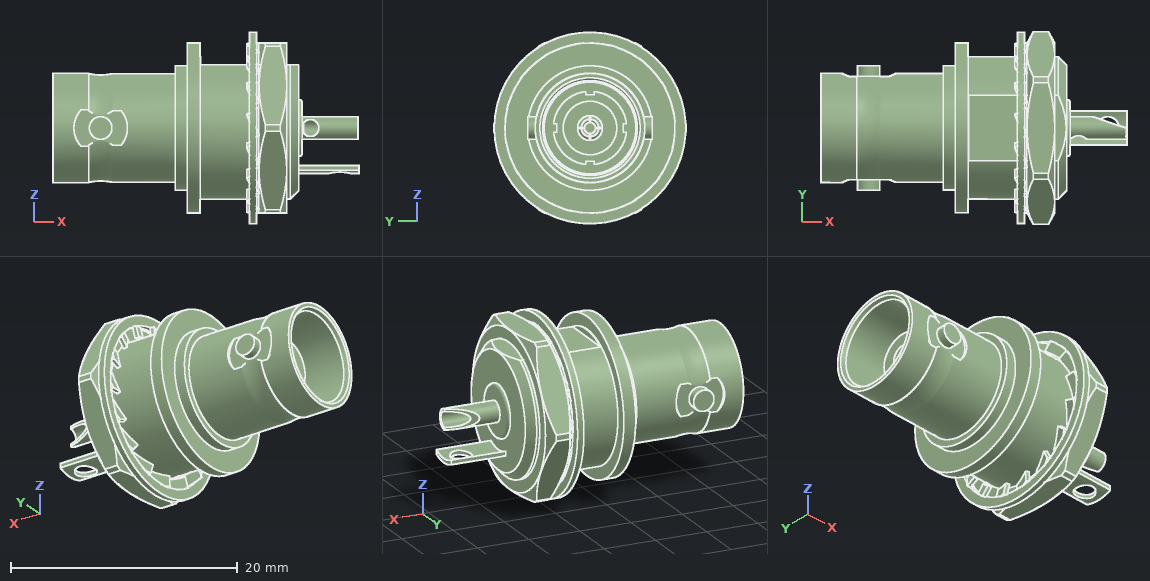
import cadquery as cq
import math


COLLAR_START = 10.77
FLANGE_START = 11.83
FLANGE_END = 13.0
KEY_FLAT_START = 13.05
WASHER_START = 17.33
WASHER_END = 17.95
NUT_START = 18.17
NUT_END = 20.63
BODY_END = 21.68
BOSS_END = 21.98
CONTACT_END = 26.92
LUG_END = 27.0

MOUTH_DIAMETER = 9.67
BARREL_DIAMETER = 9.6
MOUTH_LENGTH = 3.32
GROOVE_WIDTH = 2.1
GROOVE_DEPTH = 0.1
BAYONET_X = 4.2
BAYONET_PIN_DIAMETER = 2.0
BAYONET_SPAN = 11.0
SPOTFACE_DIAMETER = 4.72
SPOTFACE_OFFSET = 4.55

MOUTH_BORE_RADIUS = 4.43
TAPER_START_RADIUS = 4.18
TAPER_END_RADIUS = 4.05
LEAD_IN_LENGTH = 0.4
BORE_DEPTH = 9.72

TOWER_DIAMETER = 4.72
TOWER_START = 3.3
INSULATOR_DIAMETER = 6.48
INSULATOR_RAISE = 0.27
NOTCH_WIDTH = 0.75
NOTCH_DEPTH = 0.32
SOCKET_DIAMETER = 2.2
SOCKET_START = 3.5
SOCKET_NOSE_CHAMFER = 0.32
SOCKET_BORE_DIAMETER = 0.97
SOCKET_LEAD_IN = 0.27
SOCKET_SLIT = 0.1
SOCKET_BORE_END = 8.1

COLLAR_DIAMETER = 11.0
FLANGE_DIAMETER = 15.0
THREAD_DIAMETER = 12.58
THREAD_END_CHAMFER = 0.75
KEY_FLAT_HEIGHT = 5.6
BOSS_DIAMETER = 5.02
BOSS_ROUND = 0.27

WASHER_DIAMETER = 16.9
WASHER_BORE = 14.95
TOOTH_COUNT = 16
TOOTH_WIDTH = 2.15
TOOTH_THICKNESS = 0.35
TOOTH_TWIST = 22.0
TOOTH_PHASE = 20.3
TOOTH_CIRCLE = 12.95

NUT_ACROSS_FLATS = 15.0
NUT_DIAMETER = 17.0
NUT_FACE_DIAMETER = 14.95
NUT_CHAMFER = 0.57

CONTACT_DIAMETER = 2.0
CUP_BORE_DIAMETER = 1.48
CUP_BORE_START = 22.15
WINDOW_X = 22.7
WINDOW_DIAMETER = 1.48
SCARF_START = 23.98

LUG_WIDTH = 3.02
LUG_OUTER_RADIUS = 4.02
LUG_THICKNESS = 0.4
LUG_HOLE_X = 25.3
LUG_HOLE_DIAMETER = 1.97

TOOTH_OVERLAP = 0.08


def cylinder(start, end, diameter):
    """Round bar on the X axis."""
    return cq.Workplane("YZ", origin=(start, 0, 0)).circle(diameter / 2).extrude(end - start)


def block(x_range, y_range, z_range):
    """Box between pairs of limits along X, Y and Z."""
    limits = (x_range, y_range, z_range)
    sizes = [high - low for low, high in limits]
    corner = tuple(low for low, high in limits)
    return cq.Workplane("XY").box(*sizes, centered=False).translate(corner)


def revolve_profile(points):
    """Turn an (x, radius) outline around the X axis."""
    return cq.Workplane("XY").polyline(points).close().revolve(360, (0, 0, 0), (1, 0, 0))


def make_barrel():
    barrel = cylinder(0, MOUTH_LENGTH, MOUTH_DIAMETER)
    barrel = barrel.union(cylinder(MOUTH_LENGTH, COLLAR_START, BARREL_DIAMETER))

    surface = BARREL_DIAMETER / 2
    clearance = MOUTH_DIAMETER
    groove = (
        cq.Workplane("XY")
        .moveTo(BAYONET_X - GROOVE_WIDTH / 2, surface)
        .threePointArc((BAYONET_X, surface - GROOVE_DEPTH), (BAYONET_X + GROOVE_WIDTH / 2, surface))
        .lineTo(BAYONET_X + GROOVE_WIDTH / 2, clearance)
        .lineTo(BAYONET_X - GROOVE_WIDTH / 2, clearance)
        .close()
        .revolve(360, (0, 0, 0), (1, 0, 0))
    )
    barrel = barrel.cut(groove)

    for side in (-1, 1):
        seat = cq.Workplane("XZ", origin=(BAYONET_X, side * SPOTFACE_OFFSET, 0))
        spotface = seat.circle(SPOTFACE_DIAMETER / 2).extrude(-side * BAYONET_SPAN)
        pin_height = BAYONET_SPAN / 2 - SPOTFACE_OFFSET
        pin = seat.circle(BAYONET_PIN_DIAMETER / 2).extrude(-side * pin_height)
        barrel = barrel.cut(spotface).union(pin)
    return barrel


def make_body():
    thread = cylinder(FLANGE_END, BODY_END, THREAD_DIAMETER).faces(">X").chamfer(THREAD_END_CHAMFER)
    reach = THREAD_DIAMETER
    key_flat = block((KEY_FLAT_START, BODY_END), (-reach, reach), (KEY_FLAT_HEIGHT, reach))
    thread = thread.cut(key_flat)
    boss = cylinder(BODY_END, BOSS_END, BOSS_DIAMETER).faces(">X").fillet(BOSS_ROUND)
    collar = cylinder(COLLAR_START, FLANGE_START, COLLAR_DIAMETER)
    flange = cylinder(FLANGE_START, FLANGE_END, FLANGE_DIAMETER)
    return make_barrel().union(collar).union(flange).union(thread).union(boss)


def make_mouth_bore():
    return revolve_profile(
        [
            (0, 0),
            (0, MOUTH_BORE_RADIUS),
            (LEAD_IN_LENGTH, TAPER_START_RADIUS),
            (BORE_DEPTH, TAPER_END_RADIUS),
            (BORE_DEPTH, 0),
        ]
    )


def make_insulator():
    base_start = BORE_DEPTH - INSULATOR_RAISE
    base = cylinder(base_start, BORE_DEPTH, INSULATOR_DIAMETER)
    outer = INSULATOR_DIAMETER / 2
    notch = block(
        (base_start, BORE_DEPTH),
        (-NOTCH_WIDTH / 2, NOTCH_WIDTH / 2),
        (outer - NOTCH_DEPTH, outer + NOTCH_DEPTH),
    )
    for quarter in range(4):
        base = base.cut(notch.rotate((0, 0, 0), (1, 0, 0), 90 * quarter))
    tower = cylinder(TOWER_START, BORE_DEPTH, TOWER_DIAMETER)
    return base.union(tower).cut(cylinder(TOWER_START, BORE_DEPTH, SOCKET_DIAMETER))


def make_socket():
    outer = SOCKET_DIAMETER / 2
    bore = SOCKET_BORE_DIAMETER / 2
    socket = revolve_profile(
        [
            (SOCKET_START, bore + SOCKET_LEAD_IN),
            (SOCKET_START, outer - SOCKET_NOSE_CHAMFER),
            (SOCKET_START + SOCKET_NOSE_CHAMFER, outer),
            (BORE_DEPTH, outer),
            (BORE_DEPTH, 0),
            (SOCKET_BORE_END, 0),
            (SOCKET_BORE_END, bore),
            (SOCKET_START + SOCKET_LEAD_IN, bore),
        ]
    )
    slit = block((SOCKET_START, SOCKET_BORE_END), (-SOCKET_SLIT / 2, SOCKET_SLIT / 2), (-outer, outer))
    return socket.cut(slit).cut(slit.rotate((0, 0, 0), (1, 0, 0), 90))


def make_lock_washer():
    """Flat ring with internal teeth, each twisted about its own radial line until it meets the nut."""
    middle = (WASHER_START + WASHER_END) / 2
    washer = cylinder(WASHER_START, WASHER_END, WASHER_DIAMETER)
    washer = washer.cut(cylinder(WASHER_START, WASHER_END, WASHER_BORE))

    blade = block(
        (-TOOTH_THICKNESS / 2, TOOTH_THICKNESS / 2),
        (-TOOTH_WIDTH / 2, TOOTH_WIDTH / 2),
        (0, WASHER_DIAMETER / 2),
    )
    blade = blade.rotate((0, 0, 0), (0, 0, 1), TOOTH_TWIST).translate((middle, 0, 0))
    band_start = middle - TOOTH_WIDTH
    band_end = middle + TOOTH_WIDTH
    band = cylinder(band_start, band_end, WASHER_BORE + TOOTH_OVERLAP)
    band = band.cut(cylinder(band_start, band_end, TOOTH_CIRCLE))
    tooth = blade.intersect(band)
    for index in range(TOOTH_COUNT):
        angle = TOOTH_PHASE + index * 360 / TOOTH_COUNT
        washer = washer.union(tooth.rotate((0, 0, 0), (1, 0, 0), angle))
    return washer


def make_nut():
    """Hex nut with flats facing up and down, its corners chamfered at both ends."""
    corner_diameter = NUT_ACROSS_FLATS / math.cos(math.pi / 6)
    hexagon = (
        cq.Workplane("YZ", origin=(NUT_START, 0, 0))
        .polygon(6, corner_diameter)
        .extrude(NUT_END - NUT_START)
    )
    envelope = revolve_profile(
        [
            (NUT_START, 0),
            (NUT_START, NUT_FACE_DIAMETER / 2),
            (NUT_START + NUT_CHAMFER, NUT_DIAMETER / 2),
            (NUT_END - NUT_CHAMFER, NUT_DIAMETER / 2),
            (NUT_END, NUT_FACE_DIAMETER / 2),
            (NUT_END, 0),
        ]
    )
    return hexagon.intersect(envelope).cut(cylinder(NUT_START, NUT_END, THREAD_DIAMETER))


def make_solder_contact():
    """Hollow rear contact with a scarfed end and a window on its -Y side."""
    radius = CONTACT_DIAMETER / 2
    contact = cylinder(BOSS_END, CONTACT_END, CONTACT_DIAMETER)
    contact = contact.cut(cylinder(CUP_BORE_START, CONTACT_END, CUP_BORE_DIAMETER))
    window = cq.Workplane("XZ", origin=(WINDOW_X, 0, 0)).circle(WINDOW_DIAMETER / 2).extrude(radius)
    scarf = (
        cq.Workplane("XY")
        .polyline([(SCARF_START, radius), (CONTACT_END, 0), (CONTACT_END, radius)])
        .close()
        .extrude(radius, both=True)
    )
    window = window.intersect(cylinder(BOSS_END, CONTACT_END, CONTACT_DIAMETER))
    return contact.cut(window).cut(scarf)


def make_ground_lug():
    """Strip of a thin tube wall about the connector axis, pierced near its end."""
    lug = cylinder(BODY_END, LUG_END, 2 * LUG_OUTER_RADIUS)
    lug = lug.cut(cylinder(BODY_END, LUG_END, 2 * (LUG_OUTER_RADIUS - LUG_THICKNESS)))
    strip = block(
        (BODY_END, LUG_END),
        (-LUG_WIDTH / 2, LUG_WIDTH / 2),
        (-LUG_OUTER_RADIUS, 0),
    )
    hole = (
        cq.Workplane("XY", origin=(LUG_HOLE_X, 0, 0))
        .circle(LUG_HOLE_DIAMETER / 2)
        .extrude(-LUG_OUTER_RADIUS)
    )
    return lug.intersect(strip).cut(hole)


result = (
    make_body()
    .cut(make_mouth_bore())
    .union(make_insulator())
    .union(make_socket())
    .union(make_lock_washer())
    .union(make_nut())
    .union(make_solder_contact())
    .union(make_ground_lug())
)